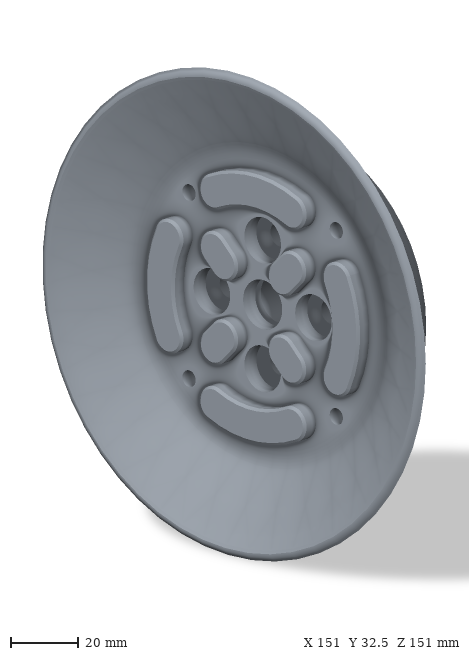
import cadquery as cq
import math


PAD_RADIUS = 29.5
PAD_HEIGHT = 1.5
HUB_RADIUS = 51.75
HUB_FILLET = 3.0
NECK_DEPTH = 6.1
NECK_ARC_RADIUS = 10.7
RIM_RADIUS = 75.5
RIM_DEPTH = 31.0
TOTAL_DEPTH = 32.5
RIM_BEVEL_ANGLE = math.radians(45)
RIM_ROUND_RADIUS = 2.5

MOUTH_RADIUS = 72.0
MOUTH_DEPTH = 32.0
CORNER_END_RADIUS = 50.0
CORNER_END_DEPTH = 19.3
FLOOR_RADIUS = 45.0
FLOOR_DEPTH = 18.0

PEG_HEIGHT = 5.0
PEG_CHAMFER = 0.8
PEG_HALF_WIDTH = 5.5
ARC_PEG_RADIUS = 36.5
ARC_PEG_HALF_ANGLE = 25.0
SHORT_PEG_INNER_CENTRE = 16.3
SHORT_PEG_OUTER_CENTRE = 21.6

SKIN_THICKNESS = 5.5
CAVITY_RADIUS = PAD_RADIUS
CAVITY_HEIGHT = 2.5
CENTRE_BORE = 15.4
BOLT_CIRCLE_RADIUS = 20.0
BOLT_HOLE = 7.7
BOLT_ACCESS_HOLE = 14.4
PIN_CIRCLE_RADIUS = 41.0
PIN_HOLE = 5.2

QUARTER_TURNS = (0, 90, 180, 270)
DIAGONALS = (45, 135, 225, 315)


def polar(radius, degrees):
    angle = math.radians(degrees)
    return radius * math.cos(angle), radius * math.sin(angle)


def at_angle(shape, degrees):
    """Turn a shape about the axis of the part."""
    return shape.rotate((0, 0, 0), (0, 1, 0), degrees)


def floor_plane(depth=FLOOR_DEPTH):
    """Sketch plane at a given depth, facing the open side: local x is X and local y is Z."""
    return cq.Workplane("XZ", origin=(0, -depth, 0))


def neck_tangent_angle():
    """Angle from the axis of the outer cone, which is tangent to the neck arc and ends at the rim."""
    radial = RIM_RADIUS - (HUB_RADIUS + NECK_ARC_RADIUS)
    axial = RIM_DEPTH - NECK_DEPTH
    return math.atan2(radial, axial) + math.asin(NECK_ARC_RADIUS / math.hypot(radial, axial))


def neck_point(angle):
    """Point on the neck arc where the wall leans outward by the given angle."""
    radius = HUB_RADIUS + NECK_ARC_RADIUS * (1 - math.cos(angle))
    return radius, -NECK_DEPTH - NECK_ARC_RADIUS * math.sin(angle)


def cup_body():
    """Revolved cup: back pad, hub, neck, outer cone, rim, inner cone and floor."""
    neck_angle = neck_tangent_angle()

    round_height = RIM_ROUND_RADIUS * (1 - math.cos(RIM_BEVEL_ANGLE))
    round_width = RIM_ROUND_RADIUS * math.sin(RIM_BEVEL_ANGLE)
    bevel_height = TOTAL_DEPTH - RIM_DEPTH - round_height
    bevel_end_radius = RIM_RADIUS - bevel_height / math.tan(RIM_BEVEL_ANGLE)
    bevel_end = (bevel_end_radius, -RIM_DEPTH - bevel_height)
    lip = (bevel_end_radius - round_width, -TOTAL_DEPTH)

    profile = (
        cq.Workplane("XY")
        .lineTo(PAD_RADIUS - PAD_HEIGHT, 0)
        .tangentArcPoint((PAD_RADIUS, -PAD_HEIGHT), relative=False)
        .lineTo(HUB_RADIUS - HUB_FILLET, -PAD_HEIGHT)
        .tangentArcPoint((HUB_RADIUS, -PAD_HEIGHT - HUB_FILLET), relative=False)
        .lineTo(HUB_RADIUS, -NECK_DEPTH)
        .threePointArc(neck_point(neck_angle / 2), neck_point(neck_angle))
        .lineTo(RIM_RADIUS, -RIM_DEPTH)
        .lineTo(*bevel_end)
        .tangentArcPoint(lip, relative=False)
        .lineTo(MOUTH_RADIUS, -MOUTH_DEPTH)
        .lineTo(CORNER_END_RADIUS, -CORNER_END_DEPTH)
        .tangentArcPoint((FLOOR_RADIUS, -FLOOR_DEPTH), relative=False)
        .lineTo(0, -FLOOR_DEPTH)
        .close()
    )
    return profile.revolve(360, (0, 0), (0, 1))


def finish_peg(outline):
    return outline.extrude(PEG_HEIGHT).faces("<Y").chamfer(PEG_CHAMFER)


def arc_peg():
    """Curved peg with round ends, centred on +X."""
    inner = ARC_PEG_RADIUS - PEG_HALF_WIDTH
    outer = ARC_PEG_RADIUS + PEG_HALF_WIDTH
    half = ARC_PEG_HALF_ANGLE
    end_centre_x, end_centre_z = polar(ARC_PEG_RADIUS, half)
    tip_offset_x, tip_offset_z = polar(PEG_HALF_WIDTH, half + 90)
    tip_x = end_centre_x + tip_offset_x
    tip_z = end_centre_z + tip_offset_z
    outline = (
        floor_plane()
        .moveTo(*polar(outer, -half))
        .threePointArc((outer, 0), polar(outer, half))
        .threePointArc((tip_x, tip_z), polar(inner, half))
        .threePointArc((inner, 0), polar(inner, -half))
        .threePointArc((tip_x, -tip_z), polar(outer, -half))
        .close()
    )
    return finish_peg(outline)


def short_peg():
    """Straight peg with round ends, lying along +X."""
    width = 2 * PEG_HALF_WIDTH
    length = SHORT_PEG_OUTER_CENTRE - SHORT_PEG_INNER_CENTRE + width
    middle = (SHORT_PEG_OUTER_CENTRE + SHORT_PEG_INNER_CENTRE) / 2
    return finish_peg(floor_plane().center(middle, 0).slot2D(length, width))


def hole(diameter, start_depth, length, offset=0.0):
    """Cylinder running from the start depth toward the back face, offset along +X."""
    return floor_plane(start_depth).center(offset, 0).circle(diameter / 2).extrude(-length)


def cavity():
    """Flat round hollow behind the floor skin."""
    return hole(2 * CAVITY_RADIUS, FLOOR_DEPTH - SKIN_THICKNESS, CAVITY_HEIGHT)


def bolt_opening():
    """Bolt hole through to the back, with a wider access hole in the floor skin."""
    through = hole(BOLT_HOLE, FLOOR_DEPTH, FLOOR_DEPTH, BOLT_CIRCLE_RADIUS)
    access = hole(BOLT_ACCESS_HOLE, FLOOR_DEPTH, SKIN_THICKNESS, BOLT_CIRCLE_RADIUS)
    return through.union(access)


def pin_hole():
    """Blind hole as deep as the floor skin."""
    return hole(PIN_HOLE, FLOOR_DEPTH, SKIN_THICKNESS, PIN_CIRCLE_RADIUS)


result = cup_body()
for degrees in QUARTER_TURNS:
    result = result.union(at_angle(arc_peg(), degrees))
for degrees in DIAGONALS:
    result = result.union(at_angle(short_peg(), degrees))

result = result.cut(cavity())
result = result.cut(hole(CENTRE_BORE, FLOOR_DEPTH, FLOOR_DEPTH))
for degrees in QUARTER_TURNS:
    result = result.cut(at_angle(bolt_opening(), degrees))
for degrees in DIAGONALS:
    result = result.cut(at_angle(pin_hole(), degrees))